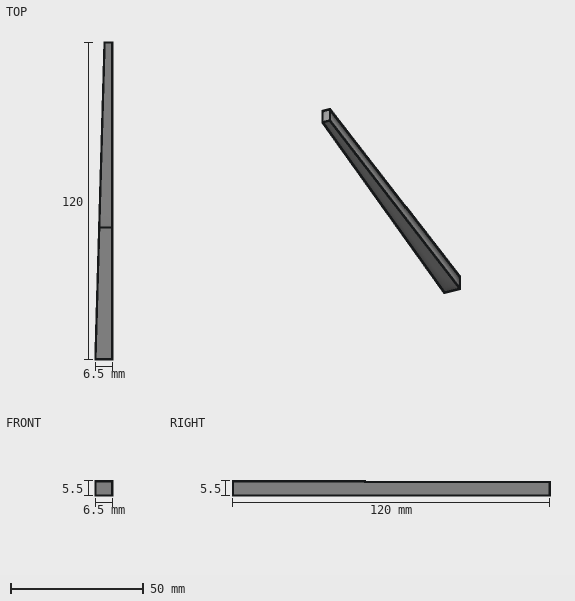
import cadquery as cq

length = 120.0
wide_end = 6.5
narrow_end = 3.0
height = 5.5

thick_length = 50.0
step_depth = 0.2


def tapered_bar():
    """Bar with a straight +X side and a -X side that slants towards the far end."""
    outline = [
        (0, 0),
        (wide_end, 0),
        (wide_end, length),
        (wide_end - narrow_end, length),
    ]
    return cq.Workplane("XY").polyline(outline).close().extrude(height)


def top_step():
    """Thin layer removed from the top of the narrow portion."""
    return cq.Workplane("XY").box(
        wide_end, length - thick_length, step_depth, centered=False
    ).translate((0, thick_length, height - step_depth))


result = tapered_bar().cut(top_step())